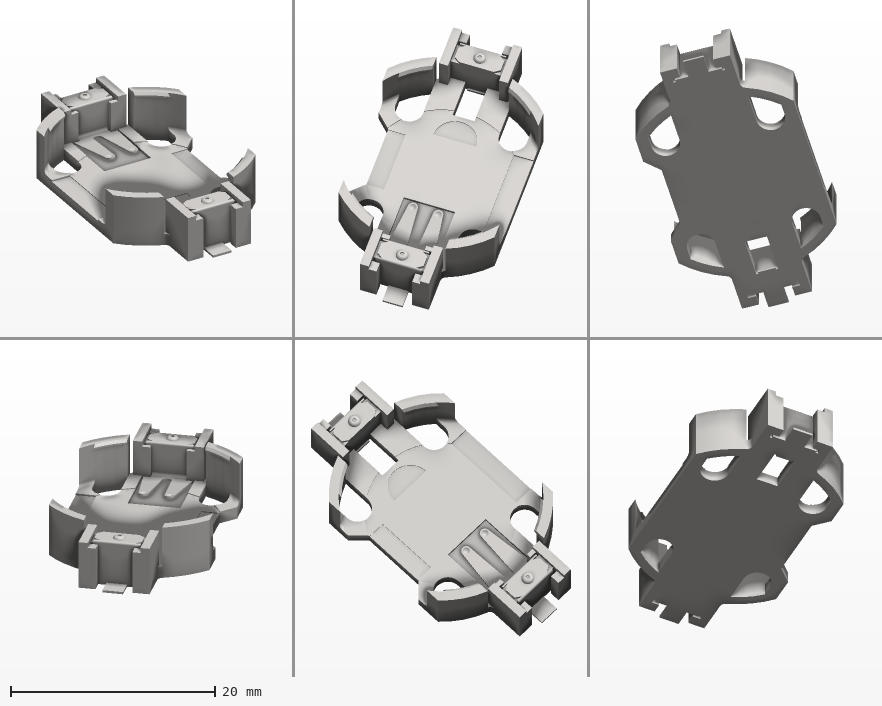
import cadquery as cq
import math

HEIGHT = 5.4
HALF_DEPTH = 8.05
OUTER_R = 11.0
CELL_R = 10.0
FLOOR_Z = 1.25
FOOT_FILLET = 0.4
RECESS_R = 7.5
RECESS_Z = 1.15
RELIEF_Z = 1.07

FRONT_RELIEF_HALF = 4.45
FRONT_RELIEF_Y = -6.0
REAR_RELIEF_HALF = 3.3
REAR_RELIEF_Y = 4.78
NOTCH_Y = 6.6
NOTCH_HALF = 3.35
NOTCH_SLOPE = HALF_DEPTH - NOTCH_Y

HOLE_X = 6.2
HOLE_R = 1.43

RIDGE_R = 9.75
RIDGE_SLOPE = CELL_R - RIDGE_R
RIDGE_LAND = 0.18

CLIP_TOP = 4.9
CLIP_INNER_X = 9.95
CLIP_OUTER_X = 14.3
CLIP_HALF_Y = 3.57
CLIP_WALL = 0.92
LIP_HALF_Y = 1.85
OUTER_LIP = 1.0
INNER_LIP = 0.48
BLOCK_INNER_X = 10.85
BLOCK_OUTER_X = 12.8
BLOCK_TOP = 4.37
ROOT_FILLET = 0.55

SHEET = 0.25
BEND_R = 0.2
PLATE_TOP = 4.65
PLATE_HALF_Y = 2.38
PLATE_CUT_X = 0.42
PLATE_CUT_Y = 0.6
TAB_END_X = 14.85
TAB_HALF_Y = 1.05
INNER_TAB_HALF_Y = 0.9
INNER_TAB = 0.18
RIVET_X = 11.88
RIVET_R = 0.62
RIVET_SHOULDER_R = 0.48
RIVET_SHOULDER_HEIGHT = 0.193
RIVET_HOLE_R = 0.2
RIVET_HOLE_DEPTH = 0.15

WINDOW_X = 6.92
WINDOW_HALF_Y = 1.13
POCKET_END_X = -3.55
POCKET_Z = 0.85
MARK_X = 4.22
MARK_R = 2.2

NECK_HALF_Y = 1.75
FINGER_ROOT_X = -9.75
FINGER_ROOT_HALF_Y = 2.47
FINGER_TIP_X = -4.7
FINGER_TIP_Y = 1.3
FINGER_TIP_R = 0.5
SLIT_R = 0.48
SPRING_THICK = 0.18
SPRING_ROOT_Z = 0.98
SPRING_ANGLE = 7.0
SPRING_BEND_R = 0.3
DIMPLE_R = 0.35
DIMPLE_DEPTH = 0.12

WALL_MID_R = (OUTER_R + CELL_R) / 2
CLIP_INSIDE_Y = CLIP_HALF_Y - CLIP_WALL
RIVET_HEIGHT = CLIP_TOP - PLATE_TOP


def box(x0, x1, y0, y1, z0, z1):
    """Box between opposite corners."""
    return cq.Workplane("XY").box(x1 - x0, y1 - y0, z1 - z0, centered=False).translate((x0, y0, z0))


def mirror_y(shape):
    """Join a shape with its mirror image across Y = 0."""
    return shape.union(shape.mirror("XZ"))


def mirror_xy(shape):
    """Copy a shape into all four quadrants."""
    half = mirror_y(shape)
    return half.union(half.mirror("YZ"))


FILLET_CENTRE_Y = CLIP_HALF_Y + ROOT_FILLET
FILLET_CENTRE_X = math.sqrt((OUTER_R + ROOT_FILLET) ** 2 - FILLET_CENTRE_Y ** 2)
TANGENT_RATIO = OUTER_R / (OUTER_R + ROOT_FILLET)
WALL_END_Y = FILLET_CENTRE_Y * TANGENT_RATIO
HOLE_Y = WALL_END_Y + HOLE_R


def base_ring():
    """Floor disc with four guide walls, cut flat front and back."""
    body = (
        cq.Workplane("XZ")
        .moveTo(0, 0)
        .lineTo(OUTER_R, 0)
        .lineTo(OUTER_R, HEIGHT)
        .lineTo(CELL_R, HEIGHT)
        .lineTo(CELL_R, FLOOR_Z + FOOT_FILLET)
        .radiusArc((CELL_R - FOOT_FILLET, FLOOR_Z), FOOT_FILLET)
        .lineTo(0, FLOOR_Z)
        .close()
        .revolve(360, (0, 0), (0, 1))
    )
    body = body.intersect(box(-OUTER_R, OUTER_R, -HALF_DEPTH, HALF_DEPTH, 0, HEIGHT))
    return body.cut(box(-OUTER_R, OUTER_R, -WALL_END_Y, WALL_END_Y, FLOOR_Z, HEIGHT))


def root_fillets():
    """Concave webs joining the ring to the housing walls, at floor height."""
    tangent_x = FILLET_CENTRE_X * TANGENT_RATIO
    web = (
        cq.Workplane("XY")
        .moveTo(CLIP_INNER_X, CLIP_INSIDE_Y)
        .lineTo(FILLET_CENTRE_X, CLIP_INSIDE_Y)
        .lineTo(FILLET_CENTRE_X, CLIP_HALF_Y)
        .radiusArc((tangent_x, WALL_END_Y), ROOT_FILLET)
        .lineTo(CLIP_INNER_X, WALL_END_Y)
        .close()
        .extrude(FLOOR_Z)
    )
    return mirror_xy(web)


def floor_cuts():
    """Round recess, rectangular reliefs, half-disc mark and rear notch."""
    cuts = cq.Workplane("XY").workplane(offset=RECESS_Z).circle(RECESS_R).extrude(FLOOR_Z - RECESS_Z)
    cuts = cuts.union(box(-FRONT_RELIEF_HALF, FRONT_RELIEF_HALF, -HALF_DEPTH, FRONT_RELIEF_Y,
                          RELIEF_Z, FLOOR_Z))
    cuts = cuts.union(box(-REAR_RELIEF_HALF, REAR_RELIEF_HALF, REAR_RELIEF_Y, NOTCH_Y, RELIEF_Z, FLOOR_Z))
    mark = (
        cq.Workplane("XY")
        .workplane(offset=RELIEF_Z)
        .moveTo(MARK_X, -MARK_R)
        .threePointArc((MARK_X + MARK_R, 0), (MARK_X, MARK_R))
        .close()
        .extrude(FLOOR_Z - RELIEF_Z)
    )
    notch_wide = NOTCH_HALF + NOTCH_SLOPE
    notch = (
        cq.Workplane("XY")
        .polyline([
            (-NOTCH_HALF, NOTCH_Y),
            (NOTCH_HALF, NOTCH_Y),
            (notch_wide, HALF_DEPTH),
            (-notch_wide, HALF_DEPTH),
        ])
        .close()
        .extrude(HEIGHT)
    )
    return cuts.union(mark).union(notch)


def corner_holes():
    """Round-ended through holes that open outward to the guide walls."""
    depth = FLOOR_Z + FOOT_FILLET
    hole = cq.Workplane("XY").center(HOLE_X, HOLE_Y).circle(HOLE_R).extrude(depth)
    hole = hole.union(box(HOLE_X, OUTER_R, HOLE_Y - HOLE_R, HOLE_Y + HOLE_R, 0, depth))
    return mirror_xy(hole.intersect(cq.Workplane("XY").circle(CELL_R).extrude(depth)))


def snap_ridges():
    """Ridges inside the guide walls, above the corner holes."""
    land_top = HEIGHT - RIDGE_SLOPE
    land_bottom = land_top - RIDGE_LAND
    root_bottom = land_bottom - RIDGE_SLOPE / 2
    ridge = (
        cq.Workplane("XZ")
        .polyline([
            (WALL_MID_R, HEIGHT),
            (CELL_R, HEIGHT),
            (RIDGE_R, land_top),
            (RIDGE_R, land_bottom),
            (CELL_R, root_bottom),
            (WALL_MID_R, root_bottom),
        ])
        .close()
        .revolve(360, (0, 0), (0, 1))
    )
    return mirror_xy(ridge.intersect(box(0, OUTER_R, WALL_END_Y, HOLE_Y + HOLE_R, 0, HEIGHT)))


def housing():
    """Terminal housing on the +X side: two side walls with outer lips and a block between."""
    wall = box(CLIP_INNER_X, CLIP_OUTER_X, CLIP_INSIDE_Y, CLIP_HALF_Y, 0, CLIP_TOP)
    lip = box(CLIP_OUTER_X - OUTER_LIP, CLIP_OUTER_X, LIP_HALF_Y, CLIP_HALF_Y, 0, BLOCK_TOP)
    floor = box(CLIP_INNER_X, BLOCK_OUTER_X, -CLIP_HALF_Y, CLIP_HALF_Y, 0, FLOOR_Z)
    block = box(BLOCK_INNER_X, BLOCK_OUTER_X, -CLIP_INSIDE_Y, CLIP_INSIDE_Y, 0, BLOCK_TOP)
    return mirror_y(wall.union(lip)).union(floor).union(block)


def contact():
    """Sheet-metal contact on the +X side: top plate, outer leg, solder tab and rivet."""
    plate_x = (BLOCK_INNER_X + BLOCK_OUTER_X) / 2
    plate_half_x = (BLOCK_OUTER_X - BLOCK_INNER_X) / 2
    flat_x = plate_half_x - PLATE_CUT_X
    flat_y = PLATE_HALF_Y - PLATE_CUT_Y
    plate = (
        cq.Workplane("XY")
        .workplane(offset=BLOCK_TOP)
        .center(plate_x, 0)
        .polyline([
            (plate_half_x, -flat_y), (plate_half_x, flat_y),
            (flat_x, PLATE_HALF_Y), (-flat_x, PLATE_HALF_Y),
            (-plate_half_x, flat_y), (-plate_half_x, -flat_y),
            (-flat_x, -PLATE_HALF_Y), (flat_x, -PLATE_HALF_Y),
        ])
        .close()
        .extrude(PLATE_TOP - BLOCK_TOP)
    )
    leg = box(BLOCK_OUTER_X, BLOCK_OUTER_X + SHEET, -PLATE_HALF_Y, PLATE_HALF_Y, 0, PLATE_TOP)
    leg = leg.edges(">X and >Z").fillet(BEND_R)
    tab = box(BLOCK_OUTER_X, TAB_END_X, -TAB_HALF_Y, TAB_HALF_Y, 0, SHEET)
    rivet = (
        cq.Workplane("XZ")
        .moveTo(0, 0)
        .lineTo(RIVET_R, 0)
        .threePointArc((RIVET_SHOULDER_R, RIVET_SHOULDER_HEIGHT), (RIVET_HOLE_R, RIVET_HEIGHT))
        .lineTo(RIVET_HOLE_R, RIVET_HEIGHT - RIVET_HOLE_DEPTH)
        .lineTo(0, RIVET_HEIGHT - RIVET_HOLE_DEPTH)
        .close()
        .revolve(360, (0, 0), (0, 1))
        .translate((RIVET_X, 0, PLATE_TOP))
    )
    return plate.union(leg).union(tab).union(rivet)


def inner_lips():
    """Lips at the inner end of the -X housing, one on each side wall."""
    return mirror_y(box(-CLIP_INNER_X - INNER_LIP, -CLIP_INNER_X, LIP_HALF_Y, CLIP_HALF_Y, 0, BLOCK_TOP))


def spring():
    """Inner leg of the -X contact with two sloping fingers."""
    leg_x = -BLOCK_INNER_X + SHEET
    leg = box(-BLOCK_INNER_X, leg_x, -PLATE_HALF_Y, PLATE_HALF_Y, POCKET_Z, PLATE_TOP)
    leg = leg.edges(">X and >Z").fillet(BEND_R)

    root_x = FINGER_ROOT_X - leg_x
    tip_x = FINGER_TIP_X - leg_x
    neck = box(-SHEET / 2, root_x, -NECK_HALF_Y, NECK_HALF_Y, 0, SPRING_THICK)
    finger = (
        cq.Workplane("XY")
        .moveTo(root_x, 0)
        .lineTo(root_x + SLIT_R, 0)
        .lineTo(root_x + SLIT_R, SLIT_R)
        .lineTo(tip_x, FINGER_TIP_Y - FINGER_TIP_R)
        .threePointArc((tip_x + FINGER_TIP_R, FINGER_TIP_Y), (tip_x, FINGER_TIP_Y + FINGER_TIP_R))
        .lineTo(root_x, FINGER_ROOT_HALF_Y)
        .close()
        .extrude(SPRING_THICK)
    )
    ball_r = (DIMPLE_R ** 2 + DIMPLE_DEPTH ** 2) / (2 * DIMPLE_DEPTH)
    ball_z = SPRING_THICK - DIMPLE_DEPTH + ball_r
    dimple = cq.Workplane("XY").sphere(ball_r).translate((tip_x, FINGER_TIP_Y, ball_z))
    slit_end = cq.Workplane("XY").center(root_x + SLIT_R, 0).circle(SLIT_R).extrude(SPRING_THICK)
    blank = neck.union(mirror_y(finger.cut(dimple))).cut(slit_end)
    blank = blank.rotate((0, 0, 0), (0, 1, 0), -SPRING_ANGLE).translate((leg_x, 0, SPRING_ROOT_Z))

    bend_z = SPRING_ROOT_Z + SPRING_THICK
    bend_end_x = leg_x + SPRING_BEND_R
    bend_end_z = bend_z + SPRING_BEND_R * math.tan(math.radians(SPRING_ANGLE))
    bend = (
        cq.Workplane("XZ")
        .moveTo(leg_x, SPRING_ROOT_Z)
        .lineTo(leg_x, bend_z + SPRING_BEND_R)
        .radiusArc((bend_end_x, bend_end_z), -SPRING_BEND_R)
        .lineTo(bend_end_x, bend_z)
        .close()
        .extrude(NECK_HALF_Y, both=True)
    )
    return leg.union(blank).union(bend)


terminal = housing().union(contact())
body = base_ring().union(root_fillets()).cut(floor_cuts()).cut(corner_holes()).union(snap_ridges())
body = body.union(terminal).union(terminal.mirror("YZ"))

window = box(WINDOW_X, BLOCK_INNER_X, -WINDOW_HALF_Y, WINDOW_HALF_Y, 0, FLOOR_Z)
inner_tab = box(BLOCK_INNER_X - INNER_TAB, BLOCK_INNER_X, -INNER_TAB_HALF_Y, INNER_TAB_HALF_Y, 0, SHEET)
body = body.cut(window).union(inner_tab)

spring_pocket = box(-BLOCK_INNER_X, POCKET_END_X, -CLIP_INSIDE_Y, CLIP_INSIDE_Y, POCKET_Z, FLOOR_Z)
result = body.cut(spring_pocket).union(inner_lips()).union(spring())